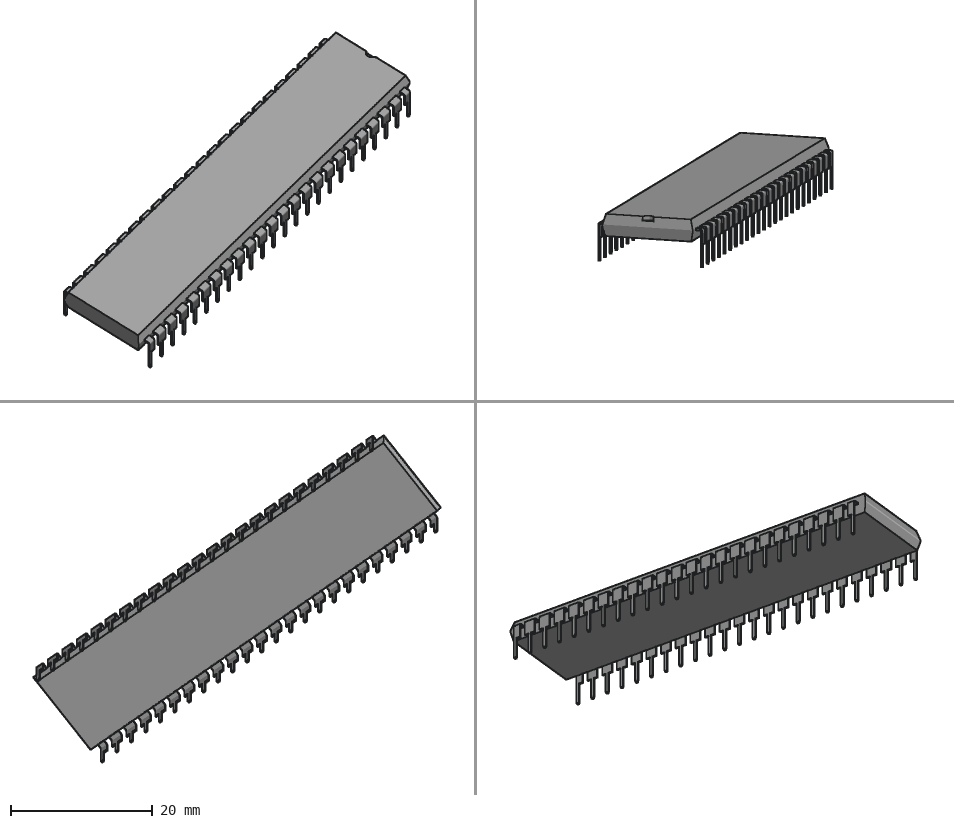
import cadquery as cq

body_length = 61.5
row_width = 15.5
height = 7.0

body_width = 13.45
body_height = 3.2
upper_half_height = 1.5
top_inset = 0.4
bottom_inset = 0.34

lead_count = 24
row_length = 58.45
lead_thickness = 0.25
bend_radius = 0.35
shoulder_width = 1.65
shoulder_drop = 2.3
pin_width = 0.48
tip_width = 0.25
tip_length = 0.3
lead_embed = 0.6

notch_radius = 0.85
notch_inset = 0.155
notch_depth = 0.6

lead_pitch = row_length / (lead_count - 1)

body_top = height
body_bottom = body_top - body_height
lead_top = body_top - upper_half_height
lead_bottom = lead_top - lead_thickness
shoulder_bottom = lead_top - shoulder_drop


def tapered_half(z_start, z_end, face_inset):
    """Body half that narrows from the parting band to its outer face by face_inset per side."""
    return (
        cq.Workplane("XY", origin=(0, 0, z_start))
        .rect(body_width, body_length)
        .workplane(offset=z_end - z_start)
        .rect(body_width - 2 * face_inset, body_length - 2 * face_inset)
        .loft(ruled=True)
    )


def make_body():
    """Moulded block with its index notch."""
    band = (
        cq.Workplane("XY", origin=(0, 0, lead_bottom))
        .rect(body_width, body_length)
        .extrude(lead_thickness)
    )
    upper_half = tapered_half(lead_top, body_top, top_inset)
    lower_half = tapered_half(lead_bottom, body_bottom, bottom_inset)
    body = band.union(upper_half).union(lower_half)
    notch = (
        cq.Workplane("XY", origin=(0, body_length / 2 - notch_inset, body_top - notch_depth))
        .circle(notch_radius)
        .extrude(notch_depth)
    )
    return body.cut(notch)


def bent_strip():
    """Bent sheet on the -X side, wider than one lead: level into the body, bent down to the tips."""
    x_outer = -row_width / 2
    x_inner = x_outer + lead_thickness
    x_embedded = -body_width / 2 + lead_embed
    inner_radius = bend_radius - lead_thickness
    return (
        cq.Workplane("XZ", origin=(0, shoulder_width, 0))
        .moveTo(x_embedded, lead_top)
        .lineTo(x_outer + bend_radius, lead_top)
        .radiusArc((x_outer, lead_top - bend_radius), -bend_radius)
        .lineTo(x_outer, 0)
        .lineTo(x_inner, 0)
        .lineTo(x_inner, lead_top - bend_radius)
        .radiusArc((x_inner + inner_radius, lead_bottom), inner_radius)
        .lineTo(x_embedded, lead_bottom)
        .close()
        .extrude(2 * shoulder_width)
    )


def lead_outline(near_half, far_half):
    """Flat lead shape in YZ: shoulder reaching near_half to -Y and far_half to +Y, over a tapered pin."""
    pin_half = pin_width / 2
    tip_half = tip_width / 2
    face = cq.Workplane("YZ", origin=(-row_width / 2, 0, 0))
    shoulder = (
        face.moveTo(-near_half, shoulder_bottom)
        .lineTo(far_half, shoulder_bottom)
        .lineTo(far_half, lead_top)
        .lineTo(-near_half, lead_top)
        .close()
        .extrude(row_width / 2)
    )
    pin = (
        face.moveTo(-tip_half, 0)
        .lineTo(tip_half, 0)
        .lineTo(pin_half, tip_length)
        .lineTo(pin_half, lead_top)
        .lineTo(-pin_half, lead_top)
        .lineTo(-pin_half, tip_length)
        .close()
        .extrude(row_width / 2)
    )
    return shoulder.union(pin)


def make_lead(near_half, far_half):
    """One bent lead on the -X side, with its pin centred on Y = 0."""
    return bent_strip().intersect(lead_outline(near_half, far_half))


def make_lead_row():
    """Solids of the -X row; the end leads have no shoulder on their outer side."""
    shoulder_half = shoulder_width / 2
    pin_half = pin_width / 2
    row_end = row_length / 2

    row = [make_lead(pin_half, shoulder_half).translate((0, -row_end, 0)).val()]
    inner_lead = make_lead(shoulder_half, shoulder_half)
    for index in range(1, lead_count - 1):
        row.append(inner_lead.translate((0, index * lead_pitch - row_end, 0)).val())
    row.append(make_lead(shoulder_half, pin_half).translate((0, row_end, 0)).val())
    return row


lead_row = make_lead_row()
opposite_row = [lead.mirror("YZ") for lead in lead_row]
package = make_body().val().fuse(*lead_row, *opposite_row).clean()
result = cq.Workplane("XY").newObject(package.Solids())